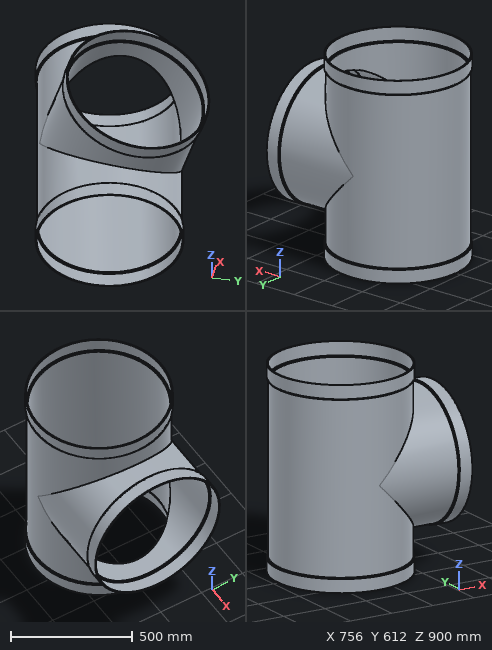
import cadquery as cq

run_length = 900.0
branch_reach = 450.0
bore_diameter = 588.0
pipe_diameter = 600.0
collar_diameter = 612.0
collar_length = 60.0
collar_taper = (collar_diameter - pipe_diameter) / 2
socket_depth = 60.0

socket_diameter = pipe_diameter
socket_taper = (socket_diameter - bore_diameter) / 2


def stepped_end(reach, inner_diameter, outer_diameter, step_length, taper):
    """Cylinder along +Z that widens through a short cone at its far end."""
    inner_radius = inner_diameter / 2
    outer_radius = outer_diameter / 2
    step_start = reach - step_length
    return (
        cq.Workplane("XZ")
        .moveTo(0, 0)
        .lineTo(inner_radius, 0)
        .lineTo(inner_radius, step_start - taper)
        .lineTo(outer_radius, step_start)
        .lineTo(outer_radius, reach)
        .lineTo(0, reach)
        .close()
        .revolve(360, (0, 0, 0), (0, 1, 0))
    )


def tee(arm):
    """Join three arms: up, down and along +X."""
    upper = arm(run_length / 2)
    lower = arm(run_length / 2).rotate((0, 0, 0), (1, 0, 0), 180)
    branch = arm(branch_reach).rotate((0, 0, 0), (0, 1, 0), 90)
    return upper.union(lower).union(branch)


def outer_arm(reach):
    return stepped_end(reach, pipe_diameter, collar_diameter, collar_length, collar_taper)


def bore_arm(reach):
    return stepped_end(reach, bore_diameter, socket_diameter, socket_depth, socket_taper)


result = tee(outer_arm).cut(tee(bore_arm))